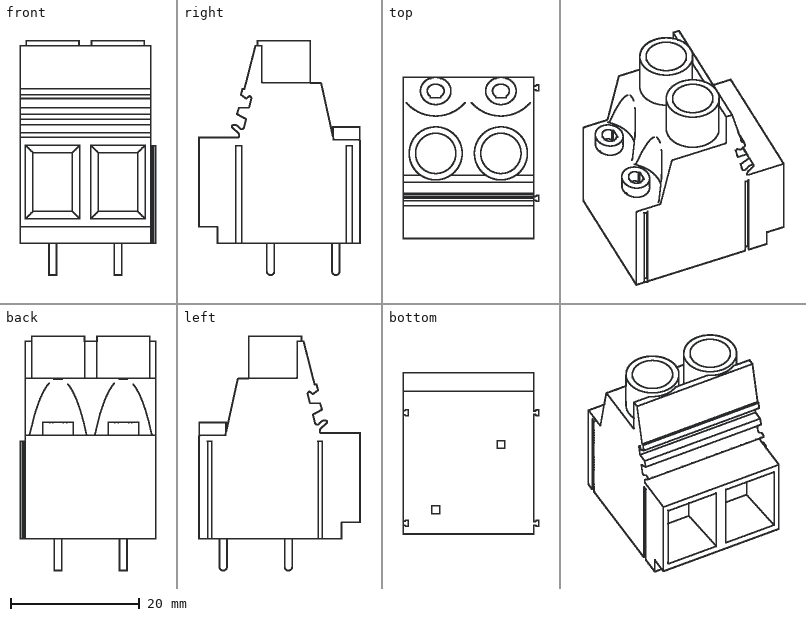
import cadquery as cq
import math


overall_width = 21.15
overall_height = 36.5

pitch = 10.15
pole_count = 2
side_wall = 0.05
housing_width = pole_count * pitch + side_wall
pole_centers = [pitch * (pole + 0.5) for pole in range(pole_count)]

housing_depth = 25.1
toe_depth = 2.9
toe_height = 2.55
front_height = 16.45
ledge_height = 16.1
ledge_front = 21.0
platform_height = 24.93
platform_back = 19.05
fin_back = 9.82
fin_front = 8.8
fin_top = 30.75
lean = math.radians(14.3)
notch_depth = 1.45
back_edge_radius = 0.3
edge_radius = 0.22

tube_y = 13.25
tube_radius = 4.12
tube_bore_radius = 3.15
tube_top = 31.55

button_y = 22.95
button_half_width = 2.37
button_half_depth = 2.1
button_top = 18.1
socket_half_width = 1.3
socket_half_depth = 1.05
socket_flat_width = 1.65
scallop_radius = 6.05

funnel_width = 8.45
funnel_height = 11.45
funnel_center_z = 9.53
funnel_inset = 1.15
funnel_depth = 6.95

dovetail_positions = [6.25, 23.45]
dovetail_height = 15.2
dovetail_root_width = 0.62
dovetail_head_width = 0.95
dovetail_neck = 0.25
dovetail_flare_end = 0.47
dovetail_length = overall_width - housing_width

pin_width = 1.2
pin_length = overall_height - tube_top
back_pin_y = 21.3
pin_places = [(pole_centers[0], back_pin_y), (pole_centers[1], back_pin_y - pitch)]


def fin_face_y(z):
    """Y of the leaning front face of the fin at height z."""
    return fin_front - (fin_top - z) * math.tan(lean)


def notch_floor(z):
    """Point on the notch floors, parallel to the fin face."""
    return fin_face_y(z) + notch_depth, z


def make_side_profile():
    """Extrude the side outline, with its lips and notches, across the housing."""
    lip_top = 24.0
    tooth_top = 21.1
    outline = (
        cq.Workplane("YZ")
        .moveTo(toe_depth, 0)
        .lineTo(housing_depth, 0)
        .lineTo(housing_depth, ledge_height)
        .lineTo(ledge_front, ledge_height)
        .lineTo(platform_back, platform_height)
        .lineTo(fin_back, platform_height)
        .lineTo(fin_back, fin_top)
        .lineTo(fin_front, fin_top)
        .lineTo(fin_face_y(lip_top), lip_top)
        .lineTo(6.8, lip_top)
        .lineTo(6.55, 23.1)
        .lineTo(7.37, 22.5)
        .lineTo(7.92, 22.92)
        .lineTo(*notch_floor(22.6))
        .lineTo(*notch_floor(tooth_top))
        .lineTo(6.25, tooth_top)
        .lineTo(5.9, 20.08)
        .lineTo(*notch_floor(19.3))
        .lineTo(*notch_floor(17.92))
        .threePointArc((6.7, 17.75), (6.45, 17.85))
        .lineTo(6.0, 18.3)
        .threePointArc((5.62, 18.45), (5.25, 18.35))
        .threePointArc((5.1, 18.18), (5.2, 18.0))
        .lineTo(6.15, 17.15)
        .lineTo(6.28, 16.83)
        .threePointArc((6.25, 16.57), (6.05, front_height))
        .lineTo(0, front_height)
        .lineTo(0, toe_height)
        .lineTo(toe_depth, toe_height)
        .close()
    )
    return outline.extrude(housing_width)


def edges_along_x(y, z):
    """Selector for the full-width edge through (y, z)."""
    reach = 0.05
    near_corner = (-reach, y - reach, z - reach)
    far_corner = (housing_width + reach, y + reach, z + reach)
    return cq.selectors.BoxSelector(near_corner, far_corner)


def round_edges(body):
    """Round the back top edge and the edges of the sloping wall and platform."""
    body = body.edges(edges_along_x(housing_depth, ledge_height)).fillet(back_edge_radius)
    for y, z in [(ledge_front, ledge_height), (platform_back, platform_height), (fin_back, platform_height)]:
        body = body.edges(edges_along_x(y, z)).fillet(edge_radius)
    return body


def make_scallop(x):
    """Clearance cylinder centred on the back face, above the ledge."""
    return (
        cq.Workplane("XY", origin=(x, housing_depth, ledge_height))
        .circle(scallop_radius)
        .extrude(platform_height - ledge_height)
    )


def make_button(x):
    """Oval button with a socket that has one flat side, down to the ledge."""
    base = cq.Workplane("XY", origin=(x, button_y, ledge_height))
    height = button_top - ledge_height
    button = base.ellipse(button_half_width, button_half_depth).extrude(height)
    socket = base.ellipse(socket_half_width, socket_half_depth).extrude(height)
    socket_flat = (
        base.center(0, -socket_half_depth / 2)
        .rect(socket_flat_width, socket_half_depth)
        .extrude(height)
    )
    return button.cut(socket).cut(socket_flat)


def make_cylinder_on_platform(x, radius):
    """Upright cylinder from the platform to the tube top, for a tube or its bore."""
    return (
        cq.Workplane("XY", origin=(x, tube_y, platform_height))
        .circle(radius)
        .extrude(tube_top - platform_height)
    )


def make_funnel(x):
    """Tapered wire entry, narrowing from the front face inwards."""
    return (
        cq.Workplane("XZ", origin=(x, 0, funnel_center_z))
        .rect(funnel_width, funnel_height)
        .workplane(offset=-funnel_depth)
        .rect(funnel_width - 2 * funnel_inset, funnel_height - 2 * funnel_inset)
        .loft(ruled=True)
    )


def make_dovetail(x, y):
    """Vertical dovetail bar that starts on the plane at x and widens towards +X."""
    root = dovetail_root_width / 2
    head = dovetail_head_width / 2
    return (
        cq.Workplane("XY", origin=(x, y, 0))
        .polyline([
            (0, -root),
            (dovetail_neck, -root),
            (dovetail_flare_end, -head),
            (dovetail_length, -head),
            (dovetail_length, head),
            (dovetail_flare_end, head),
            (dovetail_neck, root),
            (0, root),
        ])
        .close()
        .extrude(dovetail_height)
    )


def make_housing():
    """Moulded block with its tubes, buttons, wire funnels and dovetails."""
    body = round_edges(make_side_profile())
    for x in pole_centers:
        body = body.cut(make_scallop(x))
    for x in pole_centers:
        body = body.union(make_button(x))
        body = body.union(make_cylinder_on_platform(x, tube_radius))
        body = body.cut(make_cylinder_on_platform(x, tube_bore_radius))
        body = body.cut(make_funnel(x))
    for y in dovetail_positions:
        body = body.cut(make_dovetail(0, y))
        body = body.union(make_dovetail(housing_width, y))
    return body


def make_pin(x, y):
    """Square pin hanging from the underside, with its tip rounded about X."""
    half = pin_width / 2
    return (
        cq.Workplane("YZ", origin=(x - half, y, 0))
        .moveTo(-half, 0)
        .lineTo(-half, half - pin_length)
        .threePointArc((0, -pin_length), (half, half - pin_length))
        .lineTo(half, 0)
        .close()
        .extrude(pin_width)
    )


housing = make_housing()
pins = [make_pin(x, y) for x, y in pin_places]

result = cq.Compound.makeCompound([housing.val(), *[pin.val() for pin in pins]])